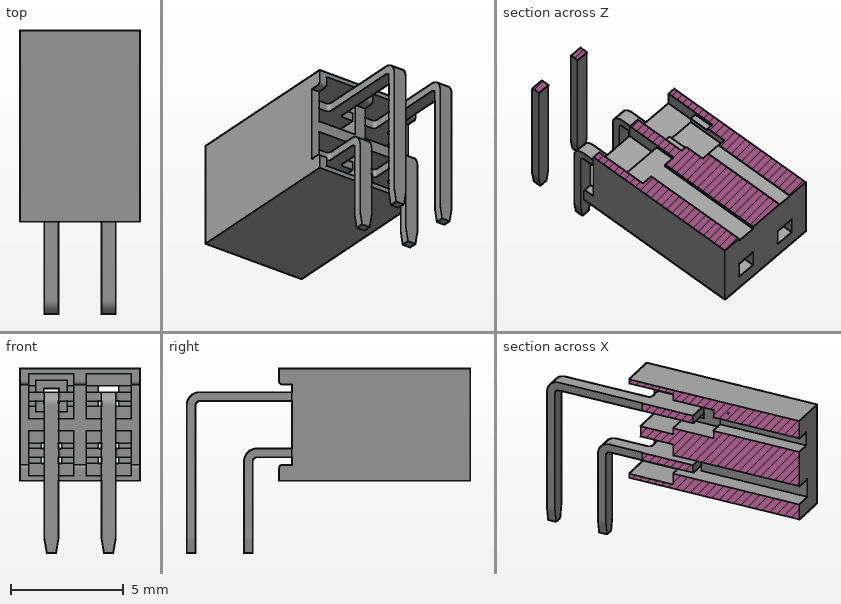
import cadquery as cq

pitch = 2.54
body_width = 5.33
body_height = 5.0
body_length = 8.5
lip_length = 0.57
lip_height = 0.72
lip_round = 0.15

pocket_size = 2.0
pocket_depth = 2.2
slot_height = 0.9
slot_depth = 3.2
window_size = 0.9

key_recess_size = 1.4
key_recess_depth = 4.2
key_hole_size = 0.66

pin_width = 0.64
pin_thickness = 0.4
pin_row_height = 1.25
bend_outer_radius = 0.6
bend_inner_radius = bend_outer_radius - pin_thickness
lower_pin_reach = 1.56
upper_pin_reach = lower_pin_reach + pitch
pin_drop = 3.2
tip_length = 0.65
tip_width = 0.42
head_front = 0.76
head_fillet = 0.16

column_x = pitch / 2
row_z = pitch / 2
pin_bottom = -body_height / 2 - pin_drop


def block(size_x, size_z, x, z, y_start, y_end):
    """Box centred on (x, z) that spans y_start to y_end."""
    return cq.Workplane("XY").box(size_x, y_end - y_start, size_z).translate(
        (x, (y_start + y_end) / 2, z)
    )


def make_housing():
    housing = block(body_width, body_height, 0, 0, 0, body_length)
    notch_height = body_height - 2 * lip_height
    housing = housing.cut(block(body_width, notch_height, 0, 0, 0, lip_length))
    for side in (-1, 1):
        edge_z = side * notch_height / 2
        edge = cq.selectors.NearestToPointSelector((0, 0, edge_z))
        housing = housing.edges(edge).fillet(lip_round)
    return housing


def make_cavity(x, z, keyed):
    pocket = block(pocket_size, pocket_size, x, z, 0, pocket_depth)
    slot = block(pocket_size, slot_height, x, z, 0, slot_depth)
    cavity = pocket.union(slot)
    if keyed:
        recess = block(key_recess_size, key_recess_size, x, z, 0, key_recess_depth)
        hole = block(key_hole_size, key_hole_size, x, z, 0, body_length)
        return cavity.union(recess).union(hole)
    return cavity.union(block(window_size, window_size, x, z, 0, body_length))


def make_pin(x, z, reach):
    """Right-angle pin with a tapered tip and a wide head held in the cavity."""
    top = z + pin_thickness / 2
    underside = z - pin_thickness / 2
    outer = -reach
    inner = outer + pin_thickness
    shank = (
        cq.Workplane("YZ")
        .moveTo(slot_depth, top)
        .lineTo(outer + bend_outer_radius, top)
        .radiusArc((outer, top - bend_outer_radius), -bend_outer_radius)
        .lineTo(outer, pin_bottom)
        .lineTo(inner, pin_bottom)
        .lineTo(inner, underside - bend_inner_radius)
        .radiusArc((inner + bend_inner_radius, underside), bend_inner_radius)
        .lineTo(slot_depth, underside)
        .close()
        .extrude(pin_width / 2, both=True)
        .translate((x, 0, 0))
    )
    head = block(pocket_size, pin_thickness, x, z, head_front, slot_depth)
    pin = shank.union(head)
    for side in (-1, 1):
        corner = cq.selectors.NearestToPointSelector((x + side * pin_width / 2, head_front, z))
        pin = pin.edges("|Z").edges(corner).fillet(head_fillet)
    for side in (-1, 1):
        taper = (
            cq.Workplane("XZ", origin=(x, inner, 0))
            .moveTo(side * pin_width / 2, pin_bottom)
            .lineTo(side * tip_width / 2, pin_bottom)
            .lineTo(side * pin_width / 2, pin_bottom + tip_length)
            .close()
            .extrude(pin_thickness)
        )
        pin = pin.cut(taper)
    return pin


housing = make_housing()
for column in (-1, 1):
    for row in (-1, 1):
        keyed = column == -1 and row == 1
        housing = housing.cut(make_cavity(column * column_x, row * row_z, keyed))

result = housing
for column in (-1, 1):
    result = result.union(make_pin(column * column_x, -pin_row_height, lower_pin_reach))
    result = result.union(make_pin(column * column_x, pin_row_height, upper_pin_reach))